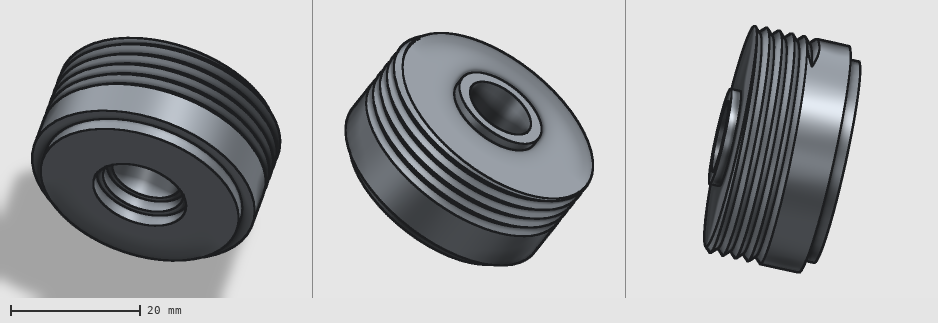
import cadquery as cq

body_diameter = 36.0
body_radius = body_diameter / 2
spigot_diameter = 32.0
boss_diameter = 15.12

spigot_length = 2.0
body_end = 17.0
overall_length = 18.5

bore_diameter = 11.2
outer_recess_diameter = 15.0
inner_recess_diameter = 13.05
recess_step = 2.0

thread_length = 10.0
thread_turns = 5
pitch = thread_length / thread_turns
thread_depth = 0.97
crest_flat = 0.02
groove_half_width = (pitch - crest_flat) / 2
groove_start = body_end - thread_length + pitch / 2
overrun_turns = 0.25
outer_clearance = 0.007
runout_length = body_radius / 2


def disc(diameter, start, end):
    """Cylinder on the Y axis between two Y positions."""
    return (
        cq.Workplane("XZ", origin=(0, start, 0))
        .circle(diameter / 2)
        .extrude(start - end)
    )


def groove_profile(plane):
    """V section at the -X side, with its point toward the axis."""
    outer_x = -body_radius - outer_clearance
    root_x = -body_radius + thread_depth
    return plane.polyline([
        (outer_x, groove_start - groove_half_width),
        (root_x, groove_start),
        (outer_x, groove_start + groove_half_width),
    ]).close()


def helical_groove():
    """Thread cutter that starts at -X and first turns toward +Z."""
    path = cq.Wire.makeHelix(
        pitch,
        pitch * (thread_turns + overrun_turns),
        body_radius,
    )
    path = (
        path.rotate(cq.Vector(0, 0, 0), cq.Vector(0, 0, 1), 180)
        .rotate(cq.Vector(0, 0, 0), cq.Vector(1, 0, 0), -90)
        .translate(cq.Vector(0, groove_start, 0))
    )
    return groove_profile(cq.Workplane("XY")).sweep(
        cq.Workplane(obj=path), isFrenet=True
    )


def straight_runout():
    """Tangential end of the thread, fading out of the body toward -Z."""
    return groove_profile(cq.Workplane("XY")).extrude(-runout_length)


spigot = disc(spigot_diameter, 0, spigot_length)
body = disc(body_diameter, spigot_length, body_end)
boss = disc(boss_diameter, body_end, overall_length)

threaded_body = body.cut(helical_groove()).cut(straight_runout())

result = (
    threaded_body.union(spigot)
    .union(boss)
    .cut(disc(bore_diameter, 0, overall_length))
    .cut(disc(outer_recess_diameter, 0, recess_step))
    .cut(disc(inner_recess_diameter, recess_step, 2 * recess_step))
)